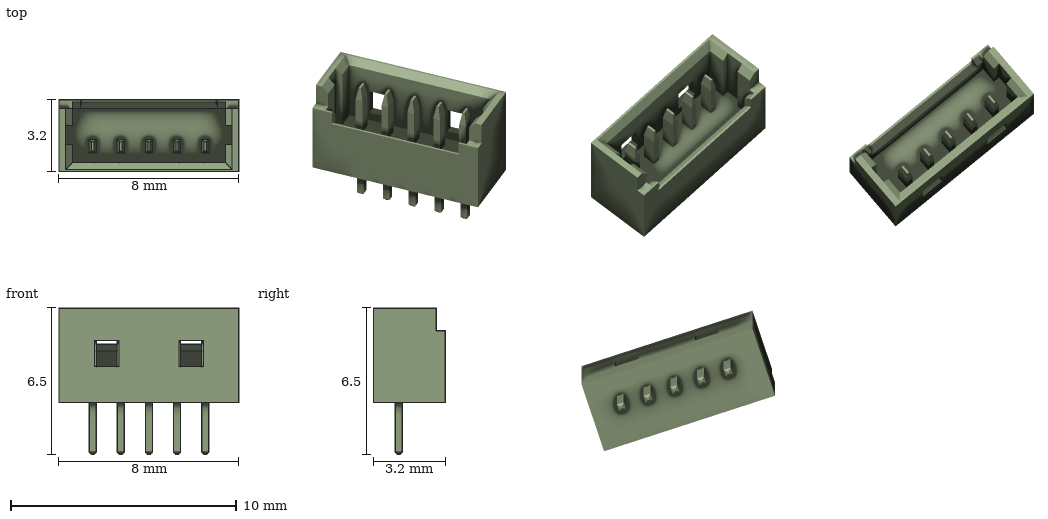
import cadquery as cq

PIN_COUNT = 5
PITCH = 1.25

LENGTH = 8.0
DEPTH = 3.2
HEIGHT = 4.2
PIN_ROW_SETBACK = 1.125
FRONT = -PIN_ROW_SETBACK
BACK = FRONT + DEPTH

FRONT_WALL = 0.4
BACK_WALL = 0.4
SIDE_WALL = 0.6
FLOOR_Z = 1.2
LEAD_IN = 0.3
CAVITY_LENGTH = LENGTH - 2 * SIDE_WALL
CAVITY_FRONT = FRONT + FRONT_WALL
CAVITY_BACK = BACK - BACK_WALL
CAVITY_DEPTH = CAVITY_BACK - CAVITY_FRONT

POST_TOP_Z = 3.2
BACK_TOP_Z = 2.6
POST_WIDTH = 0.35
LOW_LENGTH = CAVITY_LENGTH - 2 * POST_WIDTH

SLOT_START = FRONT + 1.2
SLOT_WIDTH = 0.86
SLOT_DEPTH = 0.3

WINDOW_WIDTH = 1.1
WINDOW_BOTTOM_Z = 1.6
WINDOW_HEIGHT = 1.15
WINDOW_OFFSET = 1.5 * PITCH

TAIL_SIZE = 0.32
TAIL_LENGTH = 2.3
TAIL_TAPER = 0.1
TAIL_TIP = 0.12
BLADE_WIDTH = TAIL_SIZE
BLADE_DEPTH = 0.6
BLADE_TOP_Z = 3.5
BLADE_TAPER = 0.6
BLADE_TIP_WIDTH = 0.1
BLADE_TIP_DEPTH = 0.4


def block(length, front, back, bottom, top):
    """Box centred on x = 0 between the given y and z limits."""
    box = cq.Workplane("XY").box(length, back - front, top - bottom, centered=(True, False, False))
    return box.translate((0, front, bottom))


def frustum(bottom_size, top_size, bottom, top):
    """Rectangular taper centred on the z axis."""
    return (
        cq.Workplane("XY", origin=(0, 0, bottom))
        .rect(*bottom_size)
        .workplane(offset=top - bottom)
        .rect(*top_size)
        .loft(combine=True)
    )


def back_lead_in(length, top):
    """Wedge that bevels the inner top edge of the back wall."""
    return (
        cq.Workplane("YZ")
        .moveTo(CAVITY_BACK, top - LEAD_IN)
        .lineTo(CAVITY_BACK + LEAD_IN, top)
        .lineTo(CAVITY_BACK, top)
        .close()
        .extrude(length / 2, both=True)
    )


def mouth_lead_in():
    """Bevel around the front and sides of the mouth, running out past the back of the side walls."""
    depth = CAVITY_DEPTH + BACK_WALL
    taper = frustum(
        (CAVITY_LENGTH, depth),
        (CAVITY_LENGTH + 2 * LEAD_IN, depth + 2 * LEAD_IN),
        HEIGHT - LEAD_IN,
        HEIGHT,
    )
    return taper.translate((0, CAVITY_FRONT + depth / 2, 0))


def make_housing():
    """Open-topped shroud with a low back wall, key slots and latch windows."""
    body = block(LENGTH, FRONT, BACK, 0, HEIGHT)
    body = body.cut(block(LENGTH, CAVITY_BACK, BACK, POST_TOP_Z, HEIGHT))
    body = body.cut(block(CAVITY_LENGTH, CAVITY_FRONT, CAVITY_BACK, FLOOR_Z, HEIGHT))
    body = body.cut(mouth_lead_in())

    body = body.cut(back_lead_in(CAVITY_LENGTH, POST_TOP_Z))
    body = body.cut(block(LOW_LENGTH, CAVITY_BACK, BACK, BACK_TOP_Z, HEIGHT))
    body = body.cut(back_lead_in(LOW_LENGTH, BACK_TOP_Z))

    slot_span = CAVITY_LENGTH + 2 * SLOT_DEPTH
    body = body.cut(block(slot_span, SLOT_START, SLOT_START + SLOT_WIDTH, FLOOR_Z, HEIGHT))

    window = block(WINDOW_WIDTH, FRONT, CAVITY_FRONT, WINDOW_BOTTOM_Z, WINDOW_BOTTOM_Z + WINDOW_HEIGHT)
    for side in (-1, 1):
        body = body.cut(window.translate((side * WINDOW_OFFSET, 0, 0)))
    return body


def make_pin():
    """Square solder tail below and a flat contact blade above, both tapered at the tip."""
    tail_shoulder_z = TAIL_TAPER - TAIL_LENGTH
    blade_shoulder_z = BLADE_TOP_Z - BLADE_TAPER
    blade_root_z = FLOOR_Z / 2
    tail = block(TAIL_SIZE, -TAIL_SIZE / 2, TAIL_SIZE / 2, tail_shoulder_z, blade_root_z)
    tail_tip = frustum((TAIL_TIP, TAIL_TIP), (TAIL_SIZE, TAIL_SIZE), -TAIL_LENGTH, tail_shoulder_z)
    blade = block(BLADE_WIDTH, -BLADE_DEPTH / 2, BLADE_DEPTH / 2, blade_root_z, blade_shoulder_z)
    blade_tip = frustum(
        (BLADE_WIDTH, BLADE_DEPTH), (BLADE_TIP_WIDTH, BLADE_TIP_DEPTH), blade_shoulder_z, BLADE_TOP_Z
    )
    return tail.union(tail_tip).union(blade).union(blade_tip)


result = make_housing()
pin = make_pin()
for index in range(PIN_COUNT):
    pin_x = (index - (PIN_COUNT - 1) / 2) * PITCH
    result = result.union(pin.translate((pin_x, 0, 0)))